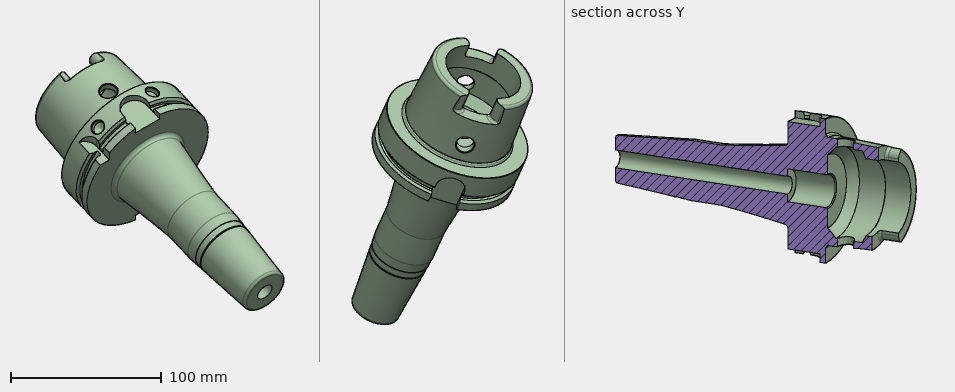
import cadquery as cq
import math

total_length = 210.0

mouth_radius = 35.5
mouth_round = 2.0
taper_end_x = 47.5
taper_end_radius = 75.4 / 2
relief_depth = 0.6
relief_end_x = 49.0
relief_end_radius = 38.2
collar_radius = 39.3

flange_start_x = 50.0
flange_end_x = 78.8
flange_radius = 100.0 / 2
flange_edge_chamfer = 0.32
groove_start_x = 67.8
groove_end_x = 71.6
groove_radius = 45.8
groove_chamfer_width = 1.3
groove_chamfer_depth = 2.0

neck_fillet = 3.0
neck_start_radius = 27.3
neck_end_x = 129.8
neck_sag = 0.32
nose_radius = 21.0
nose_cone_x = 152.5
nose_band_x = 160.0
nose_band_radius = 20.05
nose_groove_x = 164.8
nose_groove_width = 0.8
nose_groove_depth = 0.32
nose_half_angle = 4.4
nose_round = 1.9

cavity_radius = 53.0 / 2
cavity_lip_x = 19.3
clamp_radius = 63.0 / 2
clamp_half_angle = 60.0
cavity_bottom_x = 48.3
cavity_bottom_radius = 25.2
counterbore_radius = 22.5 / 2
counterbore_mouth_radius = 24.0 / 2
counterbore_end_x = flange_end_x
tool_bore_radius = 12.0 / 2

drive_slot_half_width = 9.9
drive_slot_depth_top = 9.7
drive_slot_depth_bottom = 14.7
drive_slot_round_z = 32.0
drive_slot_round = 5.2
drive_slot_corner = 1.9

cross_hole_x = 34.9
cross_hole_diameter = 12.0
hole_edge_chamfer = 0.52

key_slot_width = 20.0
key_slot_tip_x = 54.4
key_slot_floor = 44.0
notch_floor = 31.3
notch_side_y = -31.5

pocket_diameter = 9.0
pocket_depth = 3.8
pocket_tip_half_angle = 60.0
pocket_x = 58.8
pocket_angles = (22.0, -32.0)


def nose_radius_at(x):
    """Radius of the nose cone at the given X."""
    return nose_radius - (x - nose_cone_x) * math.tan(math.radians(nose_half_angle))


def turned_body():
    """Solid of revolution of the outer outline."""
    round_45 = 1 - math.sqrt(0.5)
    neck_start_x = flange_end_x + neck_fillet
    neck_mid_x = (neck_start_x + neck_end_x) / 2
    neck_mid_radius = (neck_start_radius + nose_radius) / 2 - neck_sag
    nose_round_x = total_length - nose_round
    nose_tip_radius = nose_radius_at(nose_round_x)
    groove_far_x = nose_groove_x + nose_groove_width
    groove_mid_x = nose_groove_x + nose_groove_width / 2
    relief_radius = taper_end_radius - relief_depth
    chamfer_radius = flange_radius - groove_chamfer_depth

    outline = (
        cq.Workplane("XY")
        .lineTo(0, mouth_radius - mouth_round)
        .threePointArc(
            (mouth_round * round_45, mouth_radius - mouth_round * round_45),
            (mouth_round, mouth_radius),
        )
        .lineTo(taper_end_x, taper_end_radius)
        .lineTo((taper_end_x + relief_end_x) / 2, relief_radius)
        .lineTo(relief_end_x, relief_end_radius)
        .lineTo(flange_start_x, collar_radius)
        .lineTo(flange_start_x, flange_radius - flange_edge_chamfer)
        .lineTo(flange_start_x + flange_edge_chamfer, flange_radius)
        .lineTo(groove_start_x - groove_chamfer_width, flange_radius)
        .lineTo(groove_start_x, chamfer_radius)
        .lineTo(groove_start_x, groove_radius)
        .lineTo(groove_end_x, groove_radius)
        .lineTo(groove_end_x, chamfer_radius)
        .lineTo(groove_end_x + groove_chamfer_width, flange_radius)
        .lineTo(flange_end_x, flange_radius)
        .lineTo(flange_end_x, neck_start_radius + neck_fillet)
        .threePointArc(
            (flange_end_x + neck_fillet * round_45, neck_start_radius + neck_fillet * round_45),
            (neck_start_x, neck_start_radius),
        )
        .threePointArc((neck_mid_x, neck_mid_radius), (neck_end_x, nose_radius))
        .lineTo(nose_cone_x, nose_radius)
        .lineTo(nose_band_x, nose_radius_at(nose_band_x))
        .lineTo(nose_band_x, nose_band_radius)
        .lineTo(nose_groove_x, nose_band_radius)
        .lineTo(groove_mid_x, nose_radius_at(groove_mid_x) - nose_groove_depth)
        .lineTo(groove_far_x, nose_radius_at(groove_far_x))
        .lineTo(nose_round_x, nose_tip_radius)
        .threePointArc(
            (total_length - nose_round * round_45, nose_tip_radius - nose_round * round_45),
            (total_length, nose_tip_radius - nose_round),
        )
        .lineTo(total_length, 0)
        .close()
    )
    return outline.revolve(360, (0, 0, 0), (1, 0, 0))


def turned_bore():
    """Solid of revolution of the clamping cavity and the stepped bore behind it."""
    clamp_start_x = cavity_lip_x + (clamp_radius - cavity_radius) / math.tan(math.radians(clamp_half_angle))
    clamp_end_x = cavity_bottom_x - (clamp_radius - cavity_bottom_radius)
    chamfer = counterbore_mouth_radius - counterbore_radius
    outline = (
        cq.Workplane("XY")
        .lineTo(0, cavity_radius)
        .lineTo(cavity_lip_x, cavity_radius)
        .lineTo(clamp_start_x, clamp_radius)
        .lineTo(clamp_end_x, clamp_radius)
        .lineTo(cavity_bottom_x, cavity_bottom_radius)
        .lineTo(cavity_bottom_x, counterbore_mouth_radius)
        .lineTo(cavity_bottom_x + chamfer, counterbore_radius)
        .lineTo(counterbore_end_x, counterbore_radius)
        .lineTo(counterbore_end_x, tool_bore_radius)
        .lineTo(total_length, tool_bore_radius)
        .lineTo(total_length, 0)
        .close()
    )
    return outline.revolve(360, (0, 0, 0), (1, 0, 0))


def drive_slot(depth):
    """Cutter for the drive slot on the +Z side, flared where it meets the outside of the taper."""
    half = drive_slot_half_width
    flare_start_z = drive_slot_round_z - drive_slot_round
    flare_edge_y = half + drive_slot_round
    arc_offset = drive_slot_round * math.sqrt(0.5)
    arc_mid = (flare_edge_y - arc_offset, flare_start_z + arc_offset)
    outline = (
        cq.Workplane("YZ")
        .moveTo(-half, 0)
        .lineTo(half, 0)
        .lineTo(half, flare_start_z)
        .threePointArc(arc_mid, (flare_edge_y, drive_slot_round_z))
        .lineTo(mouth_radius, drive_slot_round_z)
        .lineTo(mouth_radius, flange_radius)
        .lineTo(-mouth_radius, flange_radius)
        .lineTo(-mouth_radius, drive_slot_round_z)
        .lineTo(-flare_edge_y, drive_slot_round_z)
        .threePointArc((-arc_mid[0], arc_mid[1]), (-half, flare_start_z))
        .close()
    )
    cutter = outline.extrude(depth)
    return cutter.faces(">X").edges().fillet(drive_slot_corner)


def rim_slot(center_y, floor_z):
    """Cutter for a round-ended slot, open toward the nose, above the given floor."""
    radius = key_slot_width / 2
    round_x = key_slot_tip_x + radius
    return (
        cq.Workplane("XY", origin=(0, center_y, floor_z))
        .moveTo(flange_end_x, -radius)
        .lineTo(round_x, -radius)
        .threePointArc((key_slot_tip_x, 0), (round_x, radius))
        .lineTo(flange_end_x, radius)
        .close()
        .extrude(flange_radius)
    )


def turned_about_axis(shape, angle):
    """The shape turned about the part axis, from +Y toward +Z for a positive angle."""
    return shape.rotate((0, 0, 0), (1, 0, 0), angle)


def drill_rim_pocket():
    """Cutter for a drilled pocket with a conical bottom, entering the flange rim from +Z."""
    radius = pocket_diameter / 2
    floor_z = flange_radius - pocket_depth
    tip_z = floor_z - radius / math.tan(math.radians(pocket_tip_half_angle))
    outline = (
        cq.Workplane("XZ", origin=(pocket_x, 0, 0))
        .moveTo(0, tip_z)
        .lineTo(radius, floor_z)
        .lineTo(radius, flange_radius + pocket_depth)
        .lineTo(0, flange_radius + pocket_depth)
        .close()
    )
    return outline.revolve(360, (0, 0, 0), (0, 1, 0))


def with_broken_rim(body, center_x, diameter, surface_radius):
    """The body with the rim chamfered where a hole along Z meets the outside on the +Z side."""
    reach = diameter / 2 + hole_edge_chamfer
    rim_box = cq.selectors.BoxSelector(
        (center_x - reach, -reach, surface_radius - reach / 2),
        (center_x + reach, reach, surface_radius + reach / 2),
        boundingbox=True,
    )
    return body.edges(rim_box).chamfer(hole_edge_chamfer)


cross_hole = (
    cq.Workplane("XY", origin=(cross_hole_x, 0, -flange_radius))
    .circle(cross_hole_diameter / 2)
    .extrude(2 * flange_radius)
)

result = (
    turned_body()
    .cut(turned_bore())
    .cut(drive_slot(drive_slot_depth_top))
    .cut(turned_about_axis(drive_slot(drive_slot_depth_bottom), 180))
    .cut(cross_hole)
)

for _ in range(2):
    result = with_broken_rim(result, cross_hole_x, cross_hole_diameter, taper_end_radius)
    result = turned_about_axis(result, 180)

result = result.cut(rim_slot(0, key_slot_floor))
result = result.cut(turned_about_axis(rim_slot(0, key_slot_floor), 180))
result = result.cut(rim_slot(notch_side_y - key_slot_width / 2, notch_floor))

for pocket_angle in pocket_angles:
    result = turned_about_axis(result, pocket_angle).cut(drill_rim_pocket())
    result = with_broken_rim(result, pocket_x, pocket_diameter, flange_radius)
    result = turned_about_axis(result, -pocket_angle)